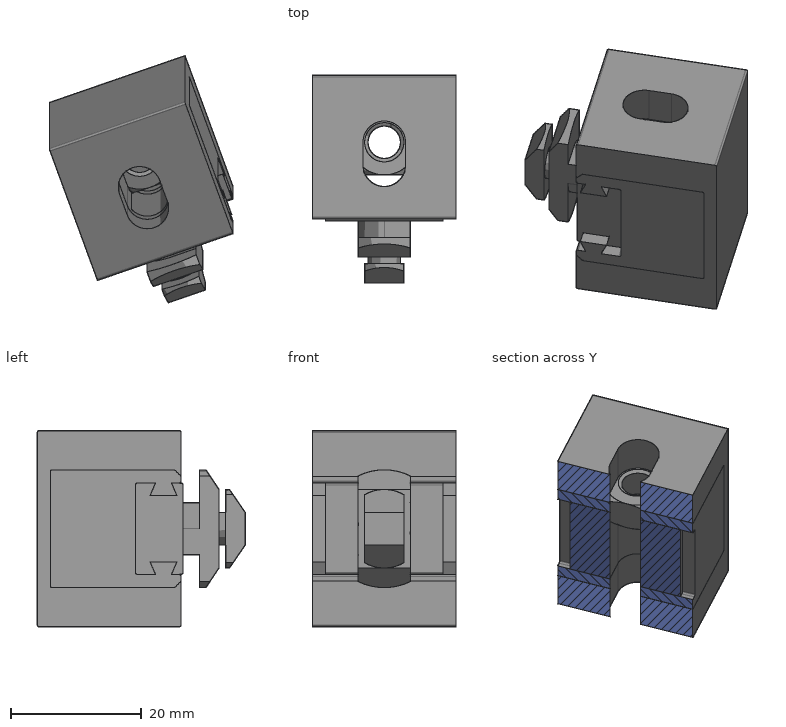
import cadquery as cq
import math


block_width = 22.0
block_depth = 22.0
block_height = 30.0
block_edge_radius = 0.3

insert_depth = 20.0
insert_height = 18.0
insert_front_chamfer = 1.0
corner_radius = 0.3

channel_depth = 7.0
channel_height = 13.95
plate_width = 18.0
plate_protrusion = 0.3

dovetail_center_y = 2.7
dovetail_neck = 2.45
dovetail_base = 4.1
dovetail_height = 1.9

slot_width = 6.5
slot_length = 10.0
slot_front_y = 5.0
slot_center_y = slot_front_y + slot_length / 2

nut_across_flats = 10.0
nut_across_corners = nut_across_flats / math.cos(math.pi / 6)
nut_thickness = 5.0
nut_bore = 4.92
nut_countersink = 6.0
nut_chamfer_slope = math.tan(math.radians(30))
nut_countersink_slope = math.tan(math.radians(30))
nut_center_y = 11.75
nut_top_z = insert_height / 2

stem_size = 8.0
large_head_length = 18.0
large_head_rim = 1.0
large_head_tip = 12.0
large_head_back_y = -2.8
small_head_width = 6.0
small_head_length = 12.0
small_head_rim = 0.6
small_head_tip = 5.0
head_thickness = 3.0
neck_diameter = 5.0
neck_length = 1.0


def box_between(width, y_front, y_back, height):
    """Box centred on X and Z that runs from y_front to y_back."""
    depth = y_back - y_front
    return cq.Workplane("XY").box(width, depth, height).translate((0, y_front + depth / 2, 0))


def vertical_slot():
    """Elongated hole through the full height of the block."""
    return (
        cq.Workplane("XY", origin=(0, slot_center_y, -block_height / 2))
        .slot2D(slot_length, slot_width, 90)
        .extrude(block_height)
    )


def insert_envelope():
    """Outer shape of the insert, which is also the seat in the housing."""
    return (
        box_between(block_width, 0, insert_depth, insert_height)
        .edges("|X and <Y")
        .chamfer(insert_front_chamfer)
        .edges("|X and >Y")
        .fillet(corner_radius)
    )


def dovetail_rails(length):
    """Upper and lower rail along X, widening towards Z = 0."""
    root_z = channel_height / 2
    tip_z = root_z - dovetail_height
    upper = (
        cq.Workplane("YZ", origin=(-length / 2, 0, 0))
        .polyline([
            (dovetail_center_y - dovetail_neck / 2, root_z),
            (dovetail_center_y - dovetail_base / 2, tip_z),
            (dovetail_center_y + dovetail_base / 2, tip_z),
            (dovetail_center_y + dovetail_neck / 2, root_z),
        ])
        .close()
        .extrude(length)
    )
    return upper, upper.mirror("XY")


def nut_prism():
    """Plain hexagonal prism of the nut, with two flats square to Y."""
    return (
        cq.Workplane("XY", origin=(0, nut_center_y, nut_top_z - nut_thickness))
        .polygon(6, nut_across_corners)
        .extrude(nut_thickness)
    )


def make_housing():
    block = (
        box_between(block_width, 0, block_depth, block_height)
        .edges("|X")
        .fillet(block_edge_radius)
    )
    return block.cut(insert_envelope()).cut(vertical_slot())


def make_insert():
    channel = (
        box_between(block_width, 0, channel_depth, channel_height)
        .edges("|X and >Y")
        .fillet(corner_radius)
    )
    body = insert_envelope().cut(channel)
    mouth_edges = cq.selectors.BoxSelector(
        (-block_width, -corner_radius, -channel_height / 2 - corner_radius),
        (block_width, corner_radius, channel_height / 2 + corner_radius),
    )
    body = body.edges("|X").edges(mouth_edges).fillet(corner_radius)
    for rail in dovetail_rails(block_width):
        body = body.union(rail)
    return body.cut(vertical_slot()).cut(nut_prism())


def make_plate():
    body = (
        box_between(plate_width, -plate_protrusion, channel_depth, channel_height)
        .edges("|X")
        .fillet(corner_radius)
    )
    for rail in dovetail_rails(plate_width):
        body = body.cut(rail)
    return body.cut(vertical_slot()).cut(nut_prism())


def make_nut():
    chamfer_circle_radius = nut_across_flats / 2
    hexagon_radius = nut_across_corners / 2
    chamfer_drop = (hexagon_radius - chamfer_circle_radius) * nut_chamfer_slope
    bore_radius = nut_bore / 2
    countersink_radius = nut_countersink / 2
    countersink_depth = (countersink_radius - bore_radius) * nut_countersink_slope
    turned = (
        cq.Workplane("XZ")
        .polyline([
            (bore_radius, countersink_depth),
            (countersink_radius, 0),
            (chamfer_circle_radius, 0),
            (hexagon_radius, chamfer_drop),
            (hexagon_radius, nut_thickness - chamfer_drop),
            (chamfer_circle_radius, nut_thickness),
            (countersink_radius, nut_thickness),
            (bore_radius, nut_thickness - countersink_depth),
        ])
        .close()
        .revolve(360, (0, 0, 0), (0, 1, 0))
        .translate((0, nut_center_y, nut_top_z - nut_thickness))
    )
    return nut_prism().intersect(turned)


def y_cylinder(diameter, y_front, y_back):
    return cq.Workplane("XZ", origin=(0, y_back, 0)).circle(diameter / 2).extrude(y_back - y_front)


def hammer_head(width, length, rim, tip, back_y):
    """Head with ends rounded about the bolt axis and sloped towards its front face."""
    front_y = back_y - head_thickness
    profile = (
        cq.Workplane("YZ", origin=(-width / 2, 0, 0))
        .polyline([
            (back_y, -length / 2),
            (back_y, length / 2),
            (back_y - rim, length / 2),
            (front_y, tip / 2),
            (front_y, -tip / 2),
            (back_y - rim, -length / 2),
        ])
        .close()
        .extrude(width)
    )
    return profile.intersect(y_cylinder(length, front_y, back_y))


def make_bolt():
    stem_front_y = large_head_back_y
    stem_back_y = -plate_protrusion
    stem = y_cylinder(stem_size, stem_front_y, stem_back_y)
    quadrant = stem_size / 2
    for side in (1, -1):
        stop = box_between(quadrant, stem_front_y, stem_back_y, quadrant)
        stem = stem.union(stop.translate((side * quadrant / 2, 0, side * quadrant / 2)))

    neck_back_y = large_head_back_y - head_thickness
    small_head_back_y = neck_back_y - neck_length
    large_head = hammer_head(
        stem_size, large_head_length, large_head_rim, large_head_tip, large_head_back_y
    )
    neck = y_cylinder(neck_diameter, small_head_back_y, neck_back_y)
    small_head = hammer_head(
        small_head_width, small_head_length, small_head_rim, small_head_tip, small_head_back_y
    )
    return stem.union(large_head).union(neck).union(small_head)


housing = make_housing()
insert = make_insert()
plate = make_plate()
nut = make_nut()
bolt = make_bolt()

result = cq.Compound.makeCompound([
    housing.val(),
    insert.val(),
    plate.val(),
    nut.val(),
    bolt.val(),
])